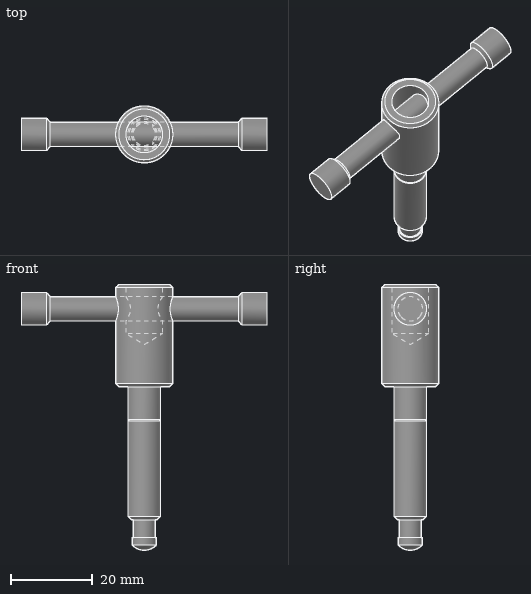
import cadquery as cq
import math

total_height = 65.0
head_diameter = 14.0
head_length = 25.0
head_chamfer = 0.8
bore_diameter = 9.0
bore_depth = 12.0
drill_point_angle = 118.0

shank_diameter = 8.0
groove_depth = 0.3
groove_top_z = 32.0
groove_width = 0.4
shank_bottom_z = 7.5
shank_chamfer = 0.85

neck_diameter = 5.4
tip_diameter = 6.0
tip_collar_top_z = 3.1
tip_dome_height = 1.3

handle_length = 60.0
handle_diameter = 6.0
handle_drop = 6.0
knob_diameter = 8.0
knob_length = 7.0
knob_bevel_length = 0.85

handle_z = total_height - handle_drop


def make_screw_blank():
    """Revolve the screw about Z; its shank groove has a flat top and a sloped lower wall."""
    head_radius = head_diameter / 2
    shank_radius = shank_diameter / 2
    neck_radius = neck_diameter / 2
    tip_radius = tip_diameter / 2
    head_bottom_z = total_height - head_length

    dome_radius = (tip_radius**2 + tip_dome_height**2) / (2 * tip_dome_height)
    dome_mid_radius = tip_radius / 2
    dome_mid_z = dome_radius - math.sqrt(dome_radius**2 - dome_mid_radius**2)

    profile = (
        cq.Workplane("XZ")
        .moveTo(0, 0)
        .threePointArc((dome_mid_radius, dome_mid_z), (tip_radius, tip_dome_height))
        .lineTo(tip_radius, tip_collar_top_z)
        .lineTo(neck_radius, tip_collar_top_z)
        .lineTo(neck_radius, shank_bottom_z)
        .lineTo(shank_radius - shank_chamfer, shank_bottom_z)
        .lineTo(shank_radius, shank_bottom_z + shank_chamfer)
        .lineTo(shank_radius, groove_top_z - groove_width)
        .lineTo(shank_radius - groove_depth, groove_top_z)
        .lineTo(shank_radius, groove_top_z)
        .lineTo(shank_radius, head_bottom_z)
        .lineTo(head_radius - head_chamfer, head_bottom_z)
        .lineTo(head_radius, head_bottom_z + head_chamfer)
        .lineTo(head_radius, total_height - head_chamfer)
        .lineTo(head_radius - head_chamfer, total_height)
        .lineTo(0, total_height)
        .close()
    )
    return profile.revolve(360, (0, 0, 0), (0, 1, 0))


def make_head_bore():
    """Blind bore from the top of the head, ending in a drill point."""
    bore_radius = bore_diameter / 2
    bore_shoulder_z = total_height - bore_depth
    drill_point_depth = bore_radius / math.tan(math.radians(drill_point_angle / 2))
    profile = (
        cq.Workplane("XZ")
        .moveTo(0, total_height)
        .lineTo(bore_radius, total_height)
        .lineTo(bore_radius, bore_shoulder_z)
        .lineTo(0, bore_shoulder_z - drill_point_depth)
        .close()
    )
    return profile.revolve(360, (0, 0, 0), (0, 1, 0))


def make_handle_bar():
    """Plain round bar along X, which also shapes its hole in the head."""
    return (
        cq.Workplane("YZ", origin=(-handle_length / 2, 0, handle_z))
        .circle(handle_diameter / 2)
        .extrude(handle_length)
    )


def make_knob(side):
    """Knob on the -X (side = -1) or +X (side = 1) end, bevelled down to the bar."""
    end_x = side * handle_length / 2
    inner_x = end_x - side * knob_length
    bevel_x = inner_x + side * knob_bevel_length
    profile = (
        cq.Workplane("XZ", origin=(0, 0, handle_z))
        .moveTo(inner_x, 0)
        .lineTo(inner_x, handle_diameter / 2)
        .lineTo(bevel_x, knob_diameter / 2)
        .lineTo(end_x, knob_diameter / 2)
        .lineTo(end_x, 0)
        .close()
    )
    return profile.revolve(360, (0, 0, 0), (1, 0, 0))


def make_screw():
    return make_screw_blank().cut(make_head_bore()).cut(make_handle_bar())


def make_handle():
    handle = make_handle_bar()
    for side in (-1, 1):
        handle = handle.union(make_knob(side))
    return handle


screw = make_screw()
handle = make_handle()

result = cq.Compound.makeCompound([screw.val(), handle.val()])